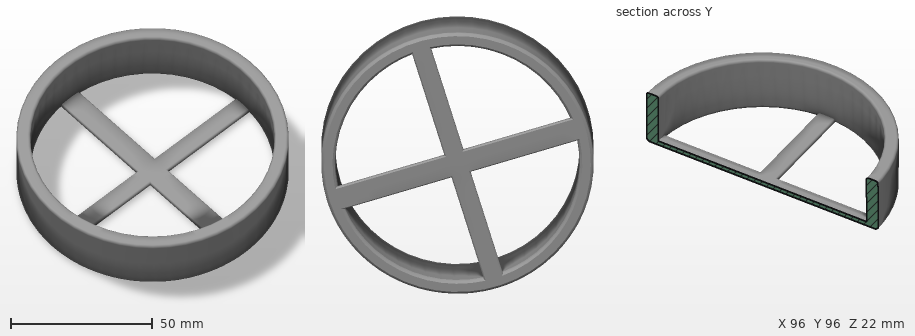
import cadquery as cq

outer_diameter = 96.0
inner_diameter = 86.0
height = 22.0
ring_fillet = 1.0
ring_chamfer = 1.0

bar_along_x_width = 8.5
bar_along_y_width = 7.0
bar_thickness = 2.0
bar_fillet = 0.7
bar_chamfer = 0.5

bar_length = (outer_diameter + inner_diameter) / 2

selection_tolerance = 0.01


def edges_at_height(z):
    """Select the edges that lie flat at height z."""
    reach = outer_diameter
    lower_corner = (-reach, -reach, z - selection_tolerance)
    upper_corner = (reach, reach, z + selection_tolerance)
    return cq.selectors.BoxSelector(lower_corner, upper_corner, boundingbox=True)


def ease_edges(body, fillet_radius, chamfer_size):
    """Fillet the top edges, chamfer the bottom ones and round where the chamfers meet the sides."""
    body = body.faces(">Z").edges().fillet(fillet_radius)
    body = body.faces("<Z").edges().chamfer(chamfer_size)
    return body.edges(edges_at_height(chamfer_size)).fillet(fillet_radius)


def make_ring():
    ring = cq.Workplane("XY").circle(outer_diameter / 2).circle(inner_diameter / 2).extrude(height)
    return ease_edges(ring, ring_fillet, ring_chamfer)


def make_bar(length_x, length_y):
    return cq.Workplane("XY").rect(length_x, length_y).extrude(bar_thickness)


def make_cross():
    bar_along_x = make_bar(bar_length, bar_along_x_width)
    bar_along_y = make_bar(bar_along_y_width, bar_length)
    return ease_edges(bar_along_x.union(bar_along_y), bar_fillet, bar_chamfer)


result = make_ring().union(make_cross())